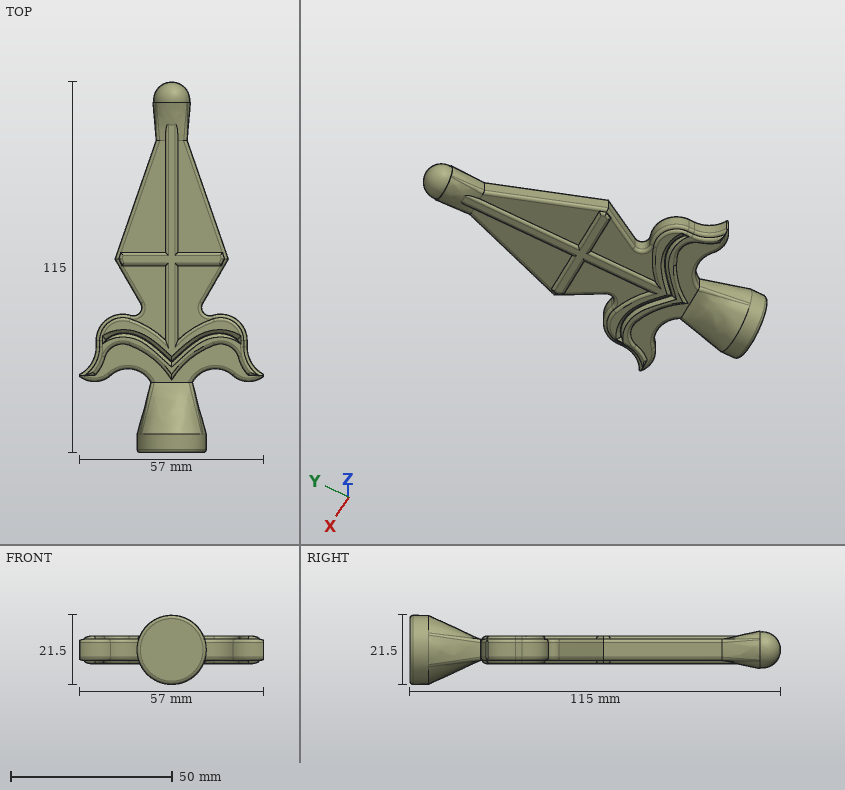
import cadquery as cq
import math

length = 115.0

collar_radius = 10.75
collar_height = 5.8
collar_round = 1.0

plate_half = 3.3
relief_height = 1.0
edge_round = 1.09
relief_round = 0.98

stem_y = 21.8
stem_half = 6.4
widest_x = 17.6
widest_y = 60.0
shoulder_half = 4.8
shoulder_y = 96.8

ball_radius = 5.6
neck_end_radius = 5.9
neck_end_y = 108.6

long_rib_half = 2.0
cross_rib_half = 2.13
long_rib_start = 32.2
long_rib_end = 104.6

crown_x = 15.2
crown_y = 34.7
crown_radius = 8.3
crown_end = math.radians(108)
waist_radius = 2.5

tail_top_y = 32.8
tail_radius = 9.7
tail_center_x = crown_x + crown_radius + tail_radius
tip_x = 28.5
apex_x = 29.0
apex_y = tail_top_y - math.sqrt(tail_radius**2 - (tail_center_x - apex_x) ** 2)

underside_top = (13.2, 26.0)
lobe_start = (19.0, 23.9)

relief_top_y = 32.9
relief_bottom_y = 22.5
arch_middle = (7.9, 30.7)
arch_top = (13.2, 33.4)
tail_band_width = 2.1
tail_band_start = math.radians(14)
tail_band_end = math.radians(43)
tail_band_point = math.radians(56)

groove_width = 0.2
groove_end = (20.5, 35.0, -25)
groove_course = [(0, 28.2, 45), (6.5, 33.9, 38), (10.9, 36.3, 20), (15.2, 37.0, 0)]

corner_spread = math.radians(2)


def polar(center, radius, angle):
    return (center[0] + radius * math.cos(angle), center[1] + radius * math.sin(angle))


def crown_point(radius, angle):
    return polar((crown_x, crown_y), radius, angle)


def tail_point(radius, angle):
    """Point on the tail arc, with the angle measured down from its top end."""
    return polar((tail_center_x, tail_top_y), radius, math.pi + angle)


waist_center = crown_point(crown_radius + waist_radius, crown_end)


def waist_tangent_angle():
    """Angle on the waist arc where the straight edge to the widest corner leaves it."""
    run = widest_x - waist_center[0]
    rise = widest_y - waist_center[1]
    return math.atan2(rise, run) + math.acos(waist_radius / math.hypot(run, rise))


def both_sides(half):
    return half.union(half.mirror("YZ")).clean()


def plate():
    apex_angle = math.asin((tail_top_y - apex_y) / tail_radius)
    half = (
        cq.Workplane("XY", origin=(0, 0, -plate_half))
        .moveTo(0, stem_y)
        .lineTo(stem_half, stem_y)
        .threePointArc(underside_top, lobe_start)
        .tangentArcPoint((apex_x, apex_y), relative=False)
        .threePointArc(tail_point(tail_radius, apex_angle / 2), tail_point(tail_radius, 0))
        .lineTo(*crown_point(crown_radius, 0))
        .threePointArc(crown_point(crown_radius, crown_end / 2), crown_point(crown_radius, crown_end))
        .threePointArc(
            polar(waist_center, waist_radius, math.pi),
            polar(waist_center, waist_radius, waist_tangent_angle()),
        )
        .lineTo(widest_x, widest_y)
        .lineTo(shoulder_half, shoulder_y)
        .lineTo(0, shoulder_y)
        .close()
        .extrude(2 * plate_half)
    )
    rounded = both_sides(half).faces("|Z").edges("not(<Y or >Y)").fillet(edge_round)
    blunt_tips = cq.Workplane("XY").box(2 * tip_x, 2 * length, 2 * plate_half)
    return rounded.intersect(blunt_tips)


def relief_plane():
    return cq.Workplane("XY", origin=(0, 0, plate_half))


def leaf_relief():
    """Raised part of the leaves; its outer side follows the inner end of the plate's edge round."""
    crown = crown_radius - edge_round
    outer_tail = tail_radius + edge_round
    inner_tail = outer_tail + tail_band_width
    half = (
        relief_plane()
        .moveTo(*tail_point(outer_tail, tail_band_point))
        .threePointArc(tail_point(outer_tail, tail_band_point / 2), tail_point(outer_tail, 0))
        .lineTo(*crown_point(crown, 0))
        .threePointArc(crown_point(crown, crown_end / 2), crown_point(crown, crown_end))
        .tangentArcPoint((0, relief_top_y), relative=False)
        .lineTo(0, relief_bottom_y)
        .threePointArc(arch_middle, arch_top)
        .tangentArcPoint(tail_point(inner_tail, tail_band_start), relative=False)
        .threePointArc(
            tail_point(inner_tail, (tail_band_start + tail_band_end) / 2),
            tail_point(inner_tail, tail_band_end),
        )
        .close()
        .extrude(relief_height)
    )
    return both_sides(half)


def groove_section(widening, height):
    """Outline of the groove at one height, widened square to its course."""
    end_x, end_y, end_slope = groove_end
    lower = []
    upper = []
    for x, y, slope in groove_course + [(end_x + widening, end_y, end_slope)]:
        half_height = (groove_width / 2 + widening) / math.cos(math.radians(slope))
        lower.append((x, y - half_height))
        upper.insert(0, (x, y + half_height))
    return (
        cq.Workplane("XY", origin=(0, 0, height))
        .moveTo(*lower[0])
        .spline(lower[1:], includeCurrent=True)
        .lineTo(*upper[0])
        .spline(upper[1:], includeCurrent=True)
        .close()
        .val()
    )


def groove():
    floor = groove_section(0, plate_half)
    mouth = groove_section(relief_height, plate_half + relief_height)
    return both_sides(cq.Workplane(cq.Solid.makeLoft([floor, mouth], True)))


def rib(x_half, y_start, y_end):
    return (
        relief_plane()
        .center(0, (y_start + y_end) / 2)
        .rect(2 * x_half, y_end - y_start)
        .extrude(relief_height)
    )


def cross_rib():
    """Rib across the widest point, its ends pointed to stay inside the plate's edge round."""
    blade = (
        relief_plane()
        .polyline([(-widest_x, widest_y), (0, length), (widest_x, widest_y), (0, stem_y)])
        .close()
        .offset2D(-edge_round)
        .extrude(relief_height)
    )
    return rib(widest_x, widest_y - cross_rib_half, widest_y + cross_rib_half).intersect(blade)


def relief():
    long_rib = rib(long_rib_half, long_rib_start, long_rib_end)
    raised = leaf_relief().union(long_rib).union(cross_rib()).clean()
    return raised.faces(">Z").edges().fillet(relief_round).cut(groove())


def transition(y_flat, x_half, y_round, radius):
    """Loft from the rounded plate section to a circle, corner to corner."""
    x_flat = x_half - edge_round
    z_flat = plate_half - edge_round
    corner = math.atan2(plate_half, x_half)
    flat_corners = [
        (0, x_flat, z_flat, corner),
        (1, -x_flat, z_flat, math.pi - corner),
        (2, -x_flat, -z_flat, math.pi + corner),
        (3, x_flat, -z_flat, 2 * math.pi - corner),
    ]

    def at(y, point):
        return cq.Vector(point[0], y, point[1])

    def ring(y, corners):
        """Closed wire of four corner arcs, joined by lines or by arcs through given points."""
        edges = []
        for i, (start, middle, end, side_middle) in enumerate(corners):
            next_start = corners[(i + 1) % len(corners)][0]
            edges.append(cq.Edge.makeThreePointArc(at(y, start), at(y, middle), at(y, end)))
            if side_middle is None:
                edges.append(cq.Edge.makeLine(at(y, end), at(y, next_start)))
            else:
                edges.append(cq.Edge.makeThreePointArc(at(y, end), at(y, side_middle), at(y, next_start)))
        return cq.Wire.assembleEdges(edges)

    flat = []
    circle = []
    for quarter, x, z, diagonal in flat_corners:
        turn = quarter * math.pi / 2
        arc_angles = (turn, turn + math.pi / 4, turn + math.pi / 2)
        flat.append([polar((x, z), edge_round, angle) for angle in arc_angles] + [None])
        circle_angles = (diagonal - corner_spread, diagonal, diagonal + corner_spread, turn + math.pi / 2)
        circle.append([polar((0, 0), radius, angle) for angle in circle_angles])
    return cq.Workplane(cq.Solid.makeLoft([ring(y_flat, flat), ring(y_round, circle)], True))


def collar():
    disc = cq.Workplane("XZ").circle(collar_radius).extrude(-collar_height)
    return disc.faces("<Y").edges().fillet(collar_round)


def ball():
    return cq.Workplane("XY", origin=(0, length - ball_radius, 0)).sphere(ball_radius)


top_relief = relief()
result = (
    plate()
    .union(top_relief)
    .union(top_relief.mirror("XY"))
    .union(transition(stem_y, stem_half, collar_height, collar_radius))
    .union(collar())
    .union(transition(shoulder_y, shoulder_half, neck_end_y, neck_end_radius))
    .union(ball())
)